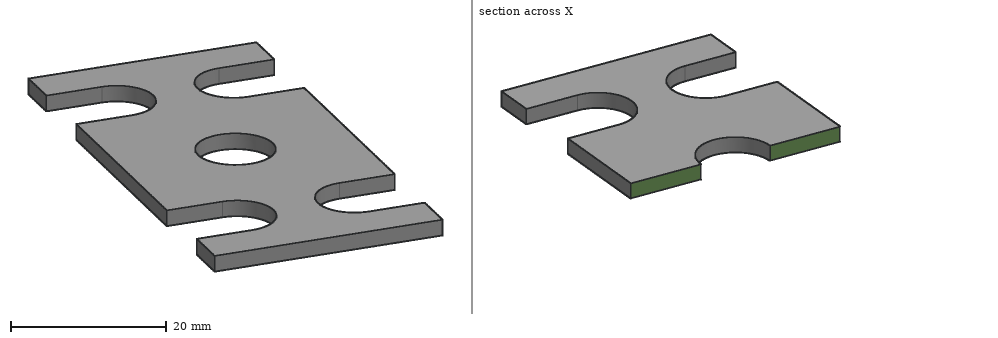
import cadquery as cq

length = 63.5
width = 31.75
thickness = 2.2

hole_diameter = 10.4

slot_width = 10.15
slot_spacing = 41.1
neck_width = 6.15

slot_radius = slot_width / 2
arc_center_y = neck_width / 2 + slot_radius


def edge_slot(x, side):
    """Cutter for one slot at x, opening to the +Y (side=1) or -Y (side=-1) edge."""
    edge_y = side * width / 2
    arc_y = side * arc_center_y
    return (
        cq.Workplane("XY")
        .moveTo(x - slot_radius, edge_y)
        .lineTo(x - slot_radius, arc_y)
        .threePointArc((x, side * neck_width / 2), (x + slot_radius, arc_y))
        .lineTo(x + slot_radius, edge_y)
        .close()
        .extrude(thickness)
    )


plate = cq.Workplane("XY").box(length, width, thickness, centered=(True, True, False))
result = plate.faces(">Z").workplane().hole(hole_diameter)

for x in (-slot_spacing / 2, slot_spacing / 2):
    for side in (-1, 1):
        result = result.cut(edge_slot(x, side))